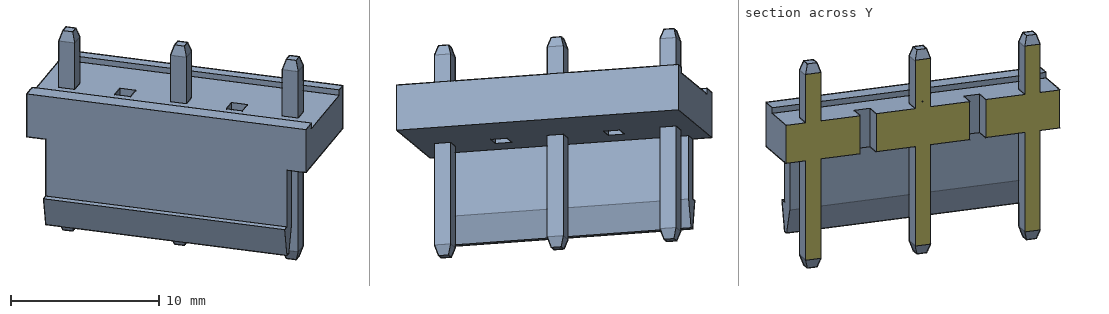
import cadquery as cq

PITCH = 3.96
POSITIONS = 5
PIN_SIDE = 1.14
PIN_TIP_SIDE = 0.7
PIN_TIP_LENGTH = 0.7
PIN_TOP = 6.85
PIN_LENGTH = 14.6

BODY_LENGTH = POSITIONS * PITCH
BODY_DEPTH = 8.0
BODY_HEIGHT = 3.15
BODY_FRONT = -3.2
BODY_BACK = BODY_FRONT + BODY_DEPTH

FRONT_RIM = 1.2
BACK_RIM = 0.8
CHANNEL_DEPTH = 0.4

LATCH_LENGTH = 17.1
LATCH_THICKNESS = 1.0
LATCH_DROP = 6.25
BARB_LEDGE_DROP = 4.15
BARB_REACH = 0.5
INNER_TAPER_DROP = 4.4
FOOT_WIDTH = 0.4


def position_x(index):
    """X of a contact position, counted from the -X end."""
    return (index - (POSITIONS - 1) / 2) * PITCH


def make_body():
    block = cq.Workplane("XY").box(BODY_LENGTH, BODY_DEPTH, BODY_HEIGHT, centered=(True, False, False))
    channel = cq.Workplane("XY").box(
        BODY_LENGTH, BODY_DEPTH - FRONT_RIM - BACK_RIM, CHANNEL_DEPTH, centered=(True, False, False)
    )
    channel = channel.translate((0, FRONT_RIM, BODY_HEIGHT - CHANNEL_DEPTH))
    return block.cut(channel).translate((0, BODY_FRONT, 0))


def make_latch():
    inner_face = BODY_FRONT + LATCH_THICKNESS
    profile = [
        (BODY_FRONT, 0),
        (BODY_FRONT, -BARB_LEDGE_DROP),
        (BODY_FRONT - BARB_REACH, -BARB_LEDGE_DROP),
        (BODY_FRONT, -LATCH_DROP),
        (BODY_FRONT + FOOT_WIDTH, -LATCH_DROP),
        (inner_face, -INNER_TAPER_DROP),
        (inner_face, 0),
    ]
    return cq.Workplane("YZ").polyline(profile).close().extrude(LATCH_LENGTH / 2, both=True)


def make_empty_hole(x):
    """Square through hole at a position without a pin."""
    return cq.Workplane("XY").center(x, 0).rect(PIN_SIDE, PIN_SIDE).extrude(BODY_HEIGHT)


def make_tip(x, shoulder_z, direction):
    """Tapered pin end, pointing up (direction 1) or down (direction -1)."""
    return (
        cq.Workplane("XY", origin=(x, 0, shoulder_z))
        .rect(PIN_SIDE, PIN_SIDE)
        .workplane(offset=direction * PIN_TIP_LENGTH)
        .rect(PIN_TIP_SIDE, PIN_TIP_SIDE)
        .loft(ruled=True)
    )


def make_pin(x):
    upper_shoulder = PIN_TOP - PIN_TIP_LENGTH
    lower_shoulder = PIN_TOP - PIN_LENGTH + PIN_TIP_LENGTH
    shaft = (
        cq.Workplane("XY", origin=(x, 0, lower_shoulder))
        .rect(PIN_SIDE, PIN_SIDE)
        .extrude(upper_shoulder - lower_shoulder)
    )
    return shaft.union(make_tip(x, upper_shoulder, 1)).union(make_tip(x, lower_shoulder, -1))


result = make_body().union(make_latch())
for index in range(POSITIONS):
    if index % 2 == 0:
        result = result.union(make_pin(position_x(index)))
    else:
        result = result.cut(make_empty_hole(position_x(index)))